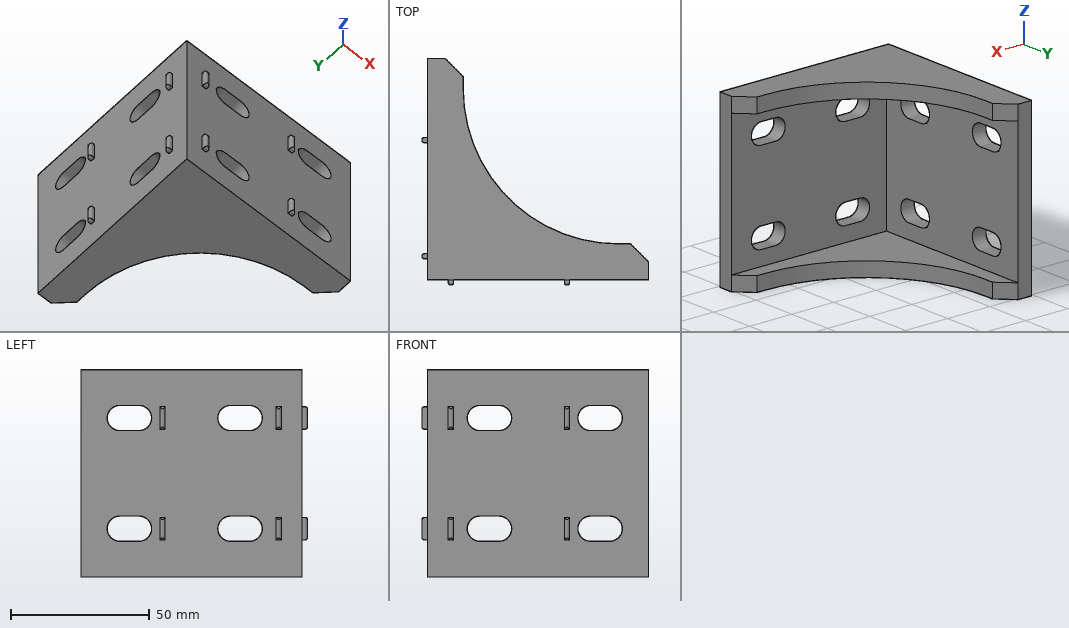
import cadquery as cq

leg_length = 80.0
height = 75.0
wall_thickness = 6.5
cheek_thickness = wall_thickness
tip_depth = 13.0
tip_chamfer = tip_depth - wall_thickness
inner_radius = 56.0

slot_length = 16.0
slot_width = 9.0
slot_first = 22.5
slot_spacing = 40.0
row_spacing = 40.0

tab_width = 2.0
tab_length = 8.2
tab_height = 2.0
tab_rounding = 0.49 * tab_width
tab_first = 8.5
tab_spacing = 42.0

row_heights = [height / 2 - row_spacing / 2, height / 2 + row_spacing / 2]


def make_body():
    """Solid block with two legs, chamfered tips and a large concave inner arc."""
    inner_corner = (tip_depth, tip_depth)
    body = (
        cq.Workplane("XY")
        .moveTo(0, 0)
        .lineTo(leg_length, 0)
        .lineTo(leg_length, tip_depth)
        .lineTo(*inner_corner)
        .lineTo(tip_depth, leg_length)
        .lineTo(0, leg_length)
        .close()
        .extrude(height)
    )
    inner_edge = cq.selectors.NearestToPointSelector((*inner_corner, height / 2))
    body = body.edges(inner_edge).fillet(inner_radius)
    for tip in [(leg_length, tip_depth), (tip_depth, leg_length)]:
        tip_edge = cq.selectors.NearestToPointSelector((*tip, height / 2))
        body = body.edges(tip_edge).chamfer(tip_chamfer)
    return body


def make_cavity():
    """Space between the two cheeks, open towards the inner arc and the leg tips."""
    return cq.Workplane("XY").box(
        leg_length, leg_length, height - 2 * cheek_thickness, centered=False
    ).translate((wall_thickness, wall_thickness, cheek_thickness))


def make_slots():
    """Slot cutters that run from the Y = 0 face through the wall."""
    centers = [(slot_first + i * slot_spacing, z) for i in range(2) for z in row_heights]
    return (
        cq.Workplane("XZ")
        .pushPoints(centers)
        .slot2D(slot_length, slot_width)
        .extrude(-wall_thickness)
    )


def make_tab(x, z):
    """One tab on the Y = 0 face, its four outer edges rounded almost to a ridge."""
    return (
        cq.Workplane("XY")
        .box(tab_width, tab_height, tab_length, centered=(True, False, True))
        .faces("<Y")
        .edges()
        .fillet(tab_rounding)
        .translate((x, -tab_height, z))
    )


def swap_legs(shape):
    """Mirror a shape across the X = Y plane, from the Y = 0 face to the X = 0 face."""
    return shape.mirror("XZ").rotate((0, 0, 0), (0, 0, 1), 90)


slots = make_slots()
result = make_body().cut(make_cavity()).cut(slots).cut(swap_legs(slots))
for x in [tab_first, tab_first + tab_spacing]:
    for z in row_heights:
        tab = make_tab(x, z)
        result = result.union(tab).union(swap_legs(tab))